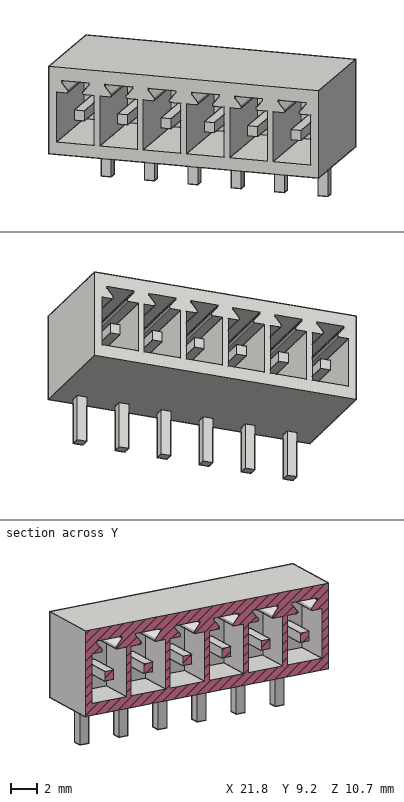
import cadquery as cq

LENGTH = 21.8
DEPTH = 9.2
TOTAL_HEIGHT = 10.7
TAIL_LENGTH = 3.7
HOUSING_HEIGHT = TOTAL_HEIGHT - TAIL_LENGTH

POSITIONS = 6
ROW_SPAN = 17.5
PITCH = ROW_SPAN / (POSITIONS - 1)

PIN_SIZE = 0.8
PIN_AXIS_HEIGHT = 2.99
PIN_RECESS = 1.0
PIN_REAR_SETBACK = 0.78
PIN_REAR = DEPTH - PIN_REAR_SETBACK

CAVITY_WIDTH = 3.03
CAVITY_HEIGHT = 4.0
FLOOR_THICKNESS = 1.0
REAR_WALL = 2 * PIN_REAR_SETBACK + PIN_SIZE
CAVITY_DEPTH = DEPTH - REAR_WALL
CAVITY_TOP = FLOOR_THICKNESS + CAVITY_HEIGHT

KEY_TOP_WIDTH = 2.25
KEY_SHARP_NECK_WIDTH = 0.87
ROOF_THICKNESS = 1.05
KEY_TOP = HOUSING_HEIGHT - ROOF_THICKNESS
KEY_TOP_LIP = 0.13
LIP_RADIUS = 0.13


def make_housing():
    """Plain block with its open face on Y = 0 and its underside on Z = 0."""
    return cq.Workplane("XY").box(LENGTH, DEPTH, HOUSING_HEIGHT, centered=(True, False, False))


def make_cavity():
    """Rectangular socket joined to a dovetail keyway with rounded lips at its neck."""
    half_cavity = CAVITY_WIDTH / 2
    half_neck = KEY_SHARP_NECK_WIDTH / 2
    half_key = KEY_TOP_WIDTH / 2
    right_side = [
        (half_cavity, FLOOR_THICKNESS),
        (half_cavity, CAVITY_TOP),
        (half_neck, CAVITY_TOP),
        (half_key, KEY_TOP - KEY_TOP_LIP),
        (half_key, KEY_TOP),
    ]
    left_side = [(-x, z) for x, z in reversed(right_side)]
    cavity = cq.Workplane("XZ").polyline(right_side + left_side).close().extrude(-CAVITY_DEPTH)
    neck_edges = cq.selectors.BoxSelector(
        (-KEY_SHARP_NECK_WIDTH, 0, CAVITY_TOP - LIP_RADIUS),
        (KEY_SHARP_NECK_WIDTH, CAVITY_DEPTH, CAVITY_TOP + LIP_RADIUS),
    )
    return cavity.edges("|Y").edges(neck_edges).fillet(LIP_RADIUS)


def make_pin():
    """Square pin running back along Y, then bent straight down."""
    pin_top = PIN_AXIS_HEIGHT + PIN_SIZE / 2
    contact = (
        cq.Workplane("XY")
        .box(PIN_SIZE, PIN_REAR - PIN_RECESS, PIN_SIZE, centered=(True, False, False))
        .translate((0, PIN_RECESS, pin_top - PIN_SIZE))
    )
    tail = (
        cq.Workplane("XY")
        .box(PIN_SIZE, PIN_SIZE, pin_top + TAIL_LENGTH, centered=(True, False, False))
        .translate((0, PIN_REAR - PIN_SIZE, -TAIL_LENGTH))
    )
    return contact.union(tail)


cavity = make_cavity()
pin = make_pin()
result = make_housing()
for index in range(POSITIONS):
    offset = (index * PITCH - ROW_SPAN / 2, 0, 0)
    result = result.cut(cavity.translate(offset)).union(pin.translate(offset))